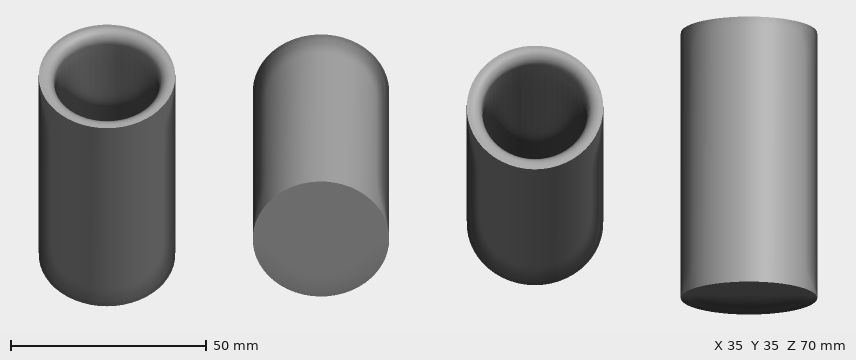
import cadquery as cq

outer_diameter = 35.0
bore_diameter = 27.0
height = 70.0
rim_rounding = 3.0

wall_thickness = (outer_diameter - bore_diameter) / 2
floor_thickness = wall_thickness
bore_depth = height - floor_thickness


def make_body():
    """Solid cylinder standing on the XY plane."""
    return cq.Workplane("XY").circle(outer_diameter / 2).extrude(height)


def cut_bore(body):
    """Blind flat-bottomed bore, open at the top."""
    return body.faces(">Z").workplane().circle(bore_diameter / 2).cutBlind(-bore_depth)


def round_bore_mouth(body):
    """Round the inner edge of the rim, leaving a narrow flat ring outside it."""
    return body.faces(">Z").edges(cq.selectors.RadiusNthSelector(0)).fillet(rim_rounding)


result = round_bore_mouth(cut_bore(make_body()))